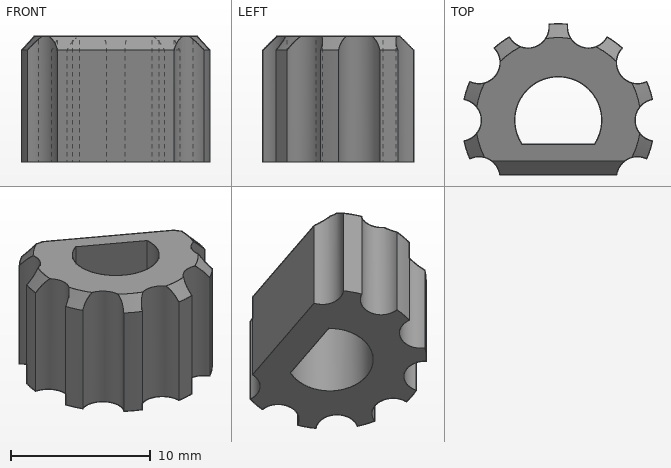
import cadquery as cq
import math

height = 9.0
outer_radius = 6.9
flat_offset = 3.9
top_chamfer = 1.0

flute_count = 10
flute_radius = 1.5
flute_center_radius = 7.0

bore_radius = 3.1
bore_flat_offset = 1.7


def d_prism(radius, flat_distance):
    """Full-height prism with a D section whose flat faces -Y."""
    half_chord = math.sqrt(radius**2 - flat_distance**2)
    return (
        cq.Workplane("XY")
        .moveTo(-half_chord, -flat_distance)
        .lineTo(half_chord, -flat_distance)
        .threePointArc((0, radius), (-half_chord, -flat_distance))
        .close()
        .extrude(height)
    )


def flutes():
    """Axial grip flutes evenly spaced around the rim."""
    return (
        cq.Workplane("XY")
        .polarArray(flute_center_radius, 0, 360, flute_count)
        .circle(flute_radius)
        .extrude(height)
    )


body = d_prism(outer_radius, flat_offset).faces(">Z").edges().chamfer(top_chamfer)
result = body.cut(flutes()).cut(d_prism(bore_radius, bore_flat_offset))